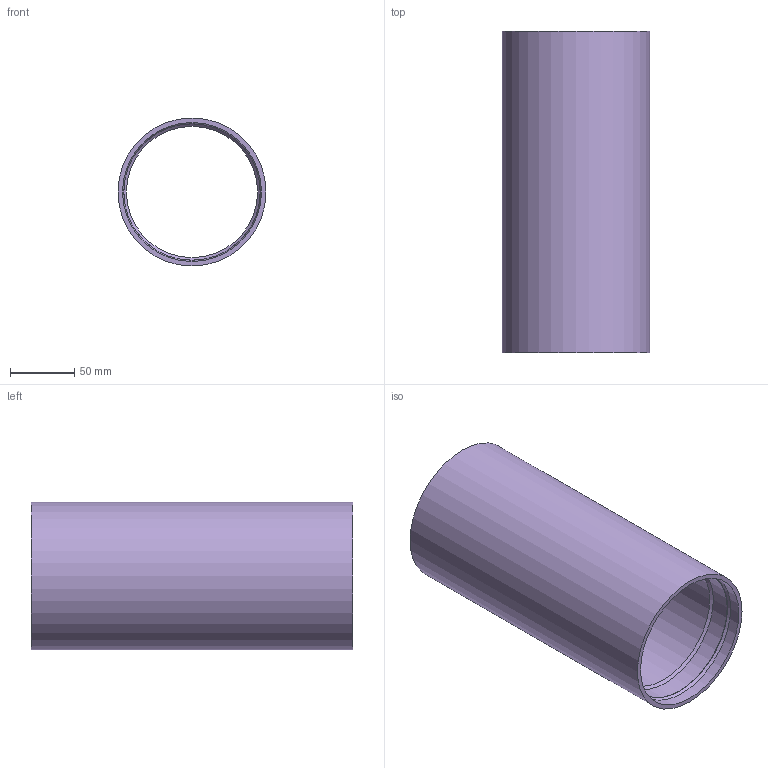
import cadquery as cq

LENGTH = 250.0
OUTER_RADIUS = 57.5
BORE_RADIUS = 51.0

MOUTH_RADIUS = 54.0
MOUTH_DEPTH = 9.0

SEAT_RADIUS = 53.0
SEAT_DEPTH = 27.0

LEAD_IN_LENGTH = 2.4
EASING_LENGTH = 0.4
EASING_STEP = 0.05

SEAT_TAPER_LENGTH = 2.0


def make_tube():
    """Revolve the wall section, with its stepped mouth, about the Y axis."""
    front = -LENGTH / 2
    back = LENGTH / 2
    mouth_end = front + MOUTH_DEPTH
    lead_in_end = mouth_end + LEAD_IN_LENGTH
    seat_start = lead_in_end + EASING_LENGTH
    seat_end = front + SEAT_DEPTH
    bore_start = seat_end + SEAT_TAPER_LENGTH

    wall_section = [
        (OUTER_RADIUS, front),
        (OUTER_RADIUS, back),
        (BORE_RADIUS, back),
        (BORE_RADIUS, bore_start),
        (SEAT_RADIUS, seat_end),
        (SEAT_RADIUS, seat_start),
        (SEAT_RADIUS + EASING_STEP, lead_in_end),
        (MOUTH_RADIUS, mouth_end),
        (MOUTH_RADIUS, front),
    ]
    section = cq.Workplane("XY").polyline(wall_section).close()
    return section.revolve(360, (0, 0, 0), (0, 1, 0))


result = make_tube()